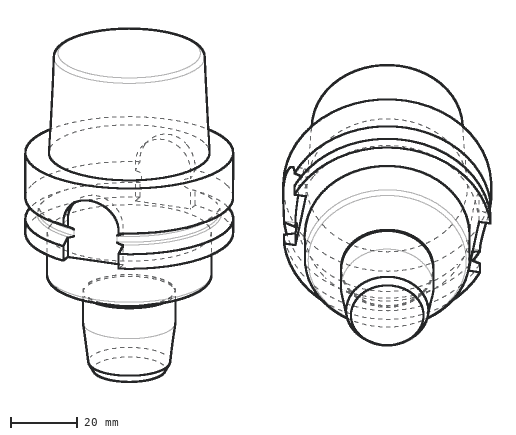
import cadquery as cq

total_height = 102.0
shank_base_radius = 24.4
shank_top_radius = 22.8
shank_edge_fillet = 1.3

flange_radius = 31.5
flange_bottom = 44.1
flange_top = 70.0
groove_floor_radius = 27.5
groove_bottom = 48.8
groove_top = 55.5
groove_flank_height = 1.9
groove_fillet = 0.8

body_radius = 25.0
body_bottom = 29.8
body_fillet = 1.6
relief_height = 0.8
relief_depth = 0.2

nose_radius = 14.02
nose_top = 25.5
nose_relief_height = 0.6
nose_taper_top = 15.1
nose_taper_radius = 12.4
tip_radius = 11.0
tip_chamfer_height = 2.5

slot_width = 18.2
slot_top = 65.2
slot_floor_distance = 26.6
slot_cut_clearance = 1.0


def revolve_outline(points):
    """Turn a closed (radius, height) outline about the Z axis."""
    return cq.Workplane("XZ").polyline(points).close().revolve(360, (0, 0, 0), (0, 1, 0))


def make_shank():
    shank = revolve_outline([
        (0, flange_top),
        (shank_base_radius, flange_top),
        (shank_top_radius, total_height),
        (0, total_height),
    ])
    return shank.faces(">Z").edges().fillet(shank_edge_fillet)


def make_flange():
    return cq.Workplane("XY", origin=(0, 0, flange_bottom)).circle(flange_radius).extrude(
        flange_top - flange_bottom
    )


def make_groove():
    """Ring with sloping flanks and rounded floor corners, to be cut from the flange."""
    floor_bottom = groove_bottom + groove_flank_height
    floor_top = groove_top - groove_flank_height
    ring = revolve_outline([
        (flange_radius, groove_bottom),
        (groove_floor_radius, floor_bottom),
        (groove_floor_radius, floor_top),
        (flange_radius, groove_top),
    ])
    floor_corners = cq.selectors.RadiusNthSelector(0)
    return ring.edges(floor_corners).fillet(groove_fillet)


def make_body():
    """Cylinder with a shallow relief under the flange and a cone leading to the nose."""
    body = revolve_outline([
        (0, nose_top),
        (nose_radius, nose_top),
        (body_radius, body_bottom),
        (body_radius, flange_bottom - relief_height),
        (body_radius - relief_depth, flange_bottom),
        (0, flange_bottom),
    ])
    lower_rim = cq.selectors.BoxSelector(
        (-body_radius, -body_radius, body_bottom - body_fillet),
        (2 * body_radius, body_radius, body_bottom + body_fillet),
    )
    return body.edges(lower_rim).edges("%CIRCLE").fillet(body_fillet)


def make_nose():
    return revolve_outline([
        (0, 0),
        (tip_radius, 0),
        (nose_taper_radius, tip_chamfer_height),
        (nose_radius, nose_taper_top),
        (nose_radius, nose_top - nose_relief_height),
        (nose_radius - relief_depth, nose_top),
        (0, nose_top),
    ])


def make_slot(angle):
    """Round-topped slot cutter with a flat floor, turned about Z from the -Y side."""
    half_width = slot_width / 2
    arc_start = slot_top - half_width
    depth = flange_radius - slot_floor_distance + slot_cut_clearance
    slot = (
        cq.Workplane("XZ", origin=(0, -slot_floor_distance, 0))
        .moveTo(-half_width, flange_bottom)
        .lineTo(half_width, flange_bottom)
        .lineTo(half_width, arc_start)
        .threePointArc((0, slot_top), (-half_width, arc_start))
        .close()
        .extrude(depth)
    )
    return slot.rotate((0, 0, 0), (0, 0, 1), angle)


flange = make_flange()
for slot_angle in (0, 180):
    flange = flange.cut(make_slot(slot_angle))
flange = flange.cut(make_groove())

result = make_nose().union(make_body()).union(flange).union(make_shank())